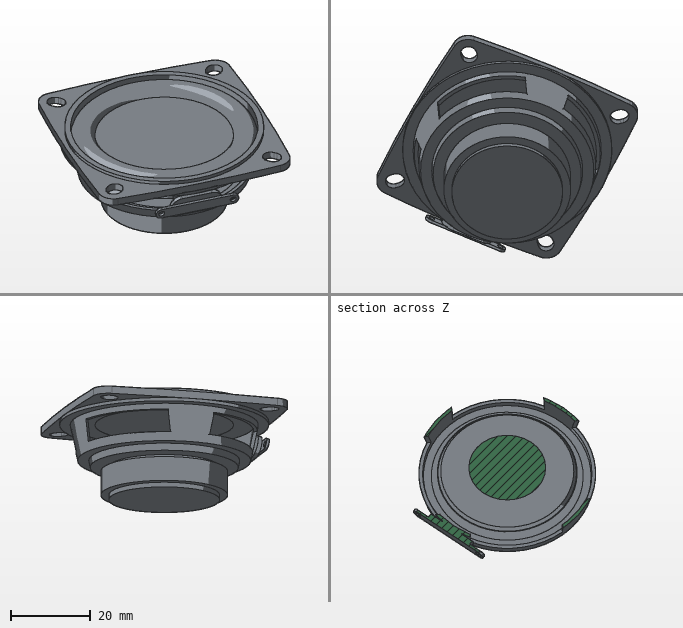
import cadquery as cq
import math

plate_top = 1.2
magnet_top = 7.35
step_bottom = 8.35
basket_bottom = 10.1
basket_floor = 11.25
sill_height = 12.35
window_top = 17.85
disc_bottom = 19.25
flange_bottom = 20.1
flange_top = 22.0
total_height = 22.9

plate_radius = 27.8 / 2
magnet_radius = 31.8 / 2
step_bottom_radius = 18.6
step_top_radius = 18.95

basket_bottom_radius = 21.75
basket_top_radius = 23.6
wall_thickness = 0.95
wall_slope = (basket_top_radius - basket_bottom_radius) / (disc_bottom - basket_bottom)
window_width = 23.25

disc_radius = 52.5 / 2
flange_half_width = 26.15
flange_corner = 25.2
flange_corner_radius = 3.95
slot_length = 4.8
slot_width = 4.0
slot_offset = 21.05
ring_radius = 50.0 / 2
opening_radius = 47.0 / 2

cone_radius = 17.4
cone_center_height = 17.7
cone_rim_height = 20.2
cone_depth = cone_rim_height - cone_center_height
cone_dish_radius = (cone_radius**2 + cone_depth**2) / (2 * cone_depth)
roll_radius = (opening_radius - cone_radius) / 2
roll_center_height = 19.85
surround_bottom = disc_bottom
coil_radius = 13.2 / 2
cone_bottom = 13.6

spider_top = cone_bottom
spider_step_height = 12.75
spider_top_radius = 16.7
spider_step_inner_radius = 17.4
spider_step_outer_radius = 17.55
spider_bottom_radius = 19.05

board_center_height = 14.25
board_face_x = 23.45
board_height = 5.65
board_length = 13.55
board_thickness = 1.05
lug_spacing = 19.1
lug_diameter = 3.0
lug_hole_diameter = 1.5
lug_thickness = 0.75
lug_drop = 0.3


def wall_radius(height):
    """Outer radius of the basket wall at a height."""
    return basket_bottom_radius + wall_slope * (height - basket_bottom)


def revolved(points):
    """Solid of revolution about Z from (radius, height) points."""
    return cq.Workplane("XZ").polyline(points).close().revolve(360, (0, 0), (0, 1))


def make_basket():
    """Motor, stepped basket base and conical wall in one profile."""
    return revolved([
        (0, 0),
        (plate_radius, 0),
        (plate_radius, plate_top),
        (magnet_radius, plate_top),
        (magnet_radius, magnet_top),
        (plate_radius, magnet_top),
        (plate_radius, step_bottom),
        (step_bottom_radius, step_bottom),
        (step_top_radius, basket_bottom),
        (basket_bottom_radius, basket_bottom),
        (basket_top_radius, disc_bottom),
        (basket_top_radius - wall_thickness, disc_bottom),
        (wall_radius(basket_floor) - wall_thickness, basket_floor),
        (0, basket_floor),
    ])


def cut_windows(basket):
    """Open the wall toward the four corners, leaving ribs on the X and Y axes."""
    for angle in (45, 135):
        opening = (
            cq.Workplane("XY", origin=(0, 0, sill_height))
            .rect(2 * disc_radius, window_width)
            .extrude(window_top - sill_height)
            .rotate((0, 0, 0), (0, 0, 1), angle)
        )
        basket = basket.cut(opening)
    return basket


def make_flange():
    """Square plate with bowed sides on a disc, topped by a round rim."""
    disc = cq.Workplane("XY", origin=(0, 0, disc_bottom)).circle(disc_radius)
    disc = disc.extrude(flange_bottom - disc_bottom)
    c = flange_corner
    square = (
        cq.Workplane("XY", origin=(0, 0, flange_bottom))
        .moveTo(-c, -c)
        .threePointArc((0, -flange_half_width), (c, -c))
        .threePointArc((flange_half_width, 0), (c, c))
        .threePointArc((0, flange_half_width), (-c, c))
        .threePointArc((-flange_half_width, 0), (-c, -c))
        .close()
        .extrude(flange_top - flange_bottom)
        .edges("|Z")
        .fillet(flange_corner_radius)
    )
    ring = cq.Workplane("XY", origin=(0, 0, flange_top)).circle(ring_radius)
    ring = ring.extrude(total_height - flange_top)
    flange = disc.union(square).union(ring)
    opening = cq.Workplane("XY", origin=(0, 0, disc_bottom)).circle(opening_radius)
    flange = flange.cut(opening.extrude(total_height - disc_bottom))
    for x_side in (-1, 1):
        for y_side in (-1, 1):
            slot = (
                cq.Workplane("XY", origin=(x_side * slot_offset, y_side * slot_offset, disc_bottom))
                .slot2D(slot_length, slot_width, 45 * x_side * y_side)
                .extrude(flange_top - disc_bottom)
            )
            flange = flange.cut(slot)
    return flange


def make_diaphragm():
    """Dished cone with a half-roll surround, on the voice coil."""
    roll_center = cone_radius + roll_radius
    return (
        cq.Workplane("XZ")
        .moveTo(0, basket_floor)
        .lineTo(coil_radius, basket_floor)
        .lineTo(coil_radius, cone_bottom)
        .lineTo(cone_radius, surround_bottom)
        .lineTo(opening_radius, surround_bottom)
        .lineTo(opening_radius, roll_center_height)
        .threePointArc(
            (roll_center, roll_center_height + roll_radius),
            (cone_radius, cone_rim_height),
        )
        .radiusArc((0, cone_center_height), cone_dish_radius)
        .close()
        .revolve(360, (0, 0), (0, 1))
    )


def make_spider():
    return revolved([
        (0, basket_floor),
        (spider_bottom_radius, basket_floor),
        (spider_step_outer_radius, spider_step_height),
        (spider_step_inner_radius, spider_step_height),
        (spider_top_radius, spider_top),
        (0, spider_top),
    ])


def make_terminals():
    """Rounded board with a lug strip that has an eye at each end."""
    lean = math.atan(wall_slope)
    face = cq.Plane(
        origin=(board_face_x, 0, board_center_height),
        xDir=(0, 1, 0),
        normal=(math.cos(lean), 0, -math.sin(lean)),
    )
    board = cq.Workplane(face).slot2D(board_length, board_height).extrude(-board_thickness)
    strip = (
        cq.Workplane(face)
        .center(0, -lug_drop)
        .slot2D(lug_spacing + lug_diameter, lug_diameter)
        .extrude(lug_thickness)
    )
    eyes = (
        cq.Workplane(face)
        .center(0, -lug_drop)
        .pushPoints([(-lug_spacing / 2, 0), (lug_spacing / 2, 0)])
        .circle(lug_hole_diameter / 2)
        .extrude(lug_thickness)
    )
    return board.union(strip).cut(eyes)


result = (
    cut_windows(make_basket())
    .union(make_flange())
    .union(make_diaphragm())
    .union(make_spider())
    .union(make_terminals())
)